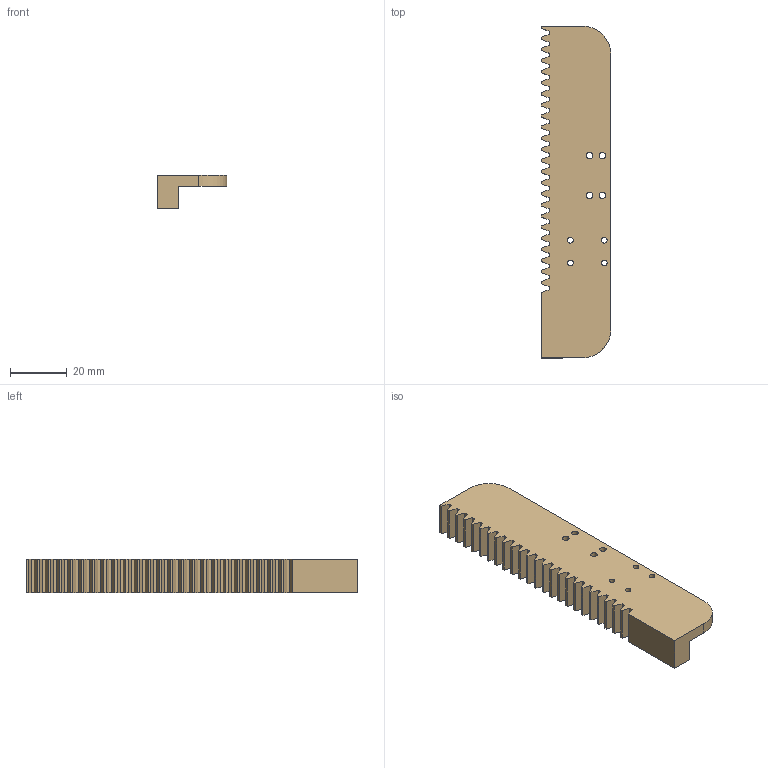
import cadquery as cq
import math

width = 24.59
length = 117.35
height = 12.0

bar_width = 7.5
plate_thickness = 4.0
corner_radius = 10.0

module = 1.25
pressure_angle = math.radians(20)
gap_count = 24
first_gap_y = 24.66
flank_clearance = 0.12
pitch = math.pi * module
addendum = module
tooth_depth = 2.25 * module

large_hole_diameter = 2.3
large_hole_start = (17.1, 57.45)
large_hole_spacing = (4.5, 14.1)
small_hole_diameter = 2.0
small_hole_start = (10.3, 33.6)
small_hole_spacing = (12.0, 8.0)


def make_body():
    """Full-height block, relieved under the plate, with rounded +X corners."""
    block = cq.Workplane("XY").box(width, length, height, centered=False)
    relief = (
        cq.Workplane("XY")
        .box(width - bar_width, length, height - plate_thickness, centered=False)
        .translate((bar_width, 0, 0))
    )
    return block.cut(relief).edges("|Z and >X").fillet(corner_radius)


def make_gap(centre_y):
    """Trapezoidal tooth gap opening on the -X face."""
    tip_half = pitch / 4 + flank_clearance + addendum * math.tan(pressure_angle)
    root_half = tip_half - tooth_depth * math.tan(pressure_angle)
    outline = [
        (0, centre_y - tip_half),
        (tooth_depth, centre_y - root_half),
        (tooth_depth, centre_y + root_half),
        (0, centre_y + tip_half),
    ]
    return cq.Workplane("XY").polyline(outline).close().extrude(height)


def cut_teeth(body):
    """Cut the row of evenly pitched gaps that leaves the rack teeth."""
    for index in range(gap_count):
        body = body.cut(make_gap(first_gap_y + index * pitch))
    return body


def drill_rectangle(body, start, spacing, diameter):
    """Drill four through holes at the corners of a rectangle."""
    start_x, start_y = start
    step_x, step_y = spacing
    centres = [(start_x + i * step_x, start_y + j * step_y) for i in range(2) for j in range(2)]
    drills = cq.Workplane("XY").pushPoints(centres).circle(diameter / 2).extrude(height)
    return body.cut(drills)


result = cut_teeth(make_body())
result = drill_rectangle(result, large_hole_start, large_hole_spacing, large_hole_diameter)
result = drill_rectangle(result, small_hole_start, small_hole_spacing, small_hole_diameter)